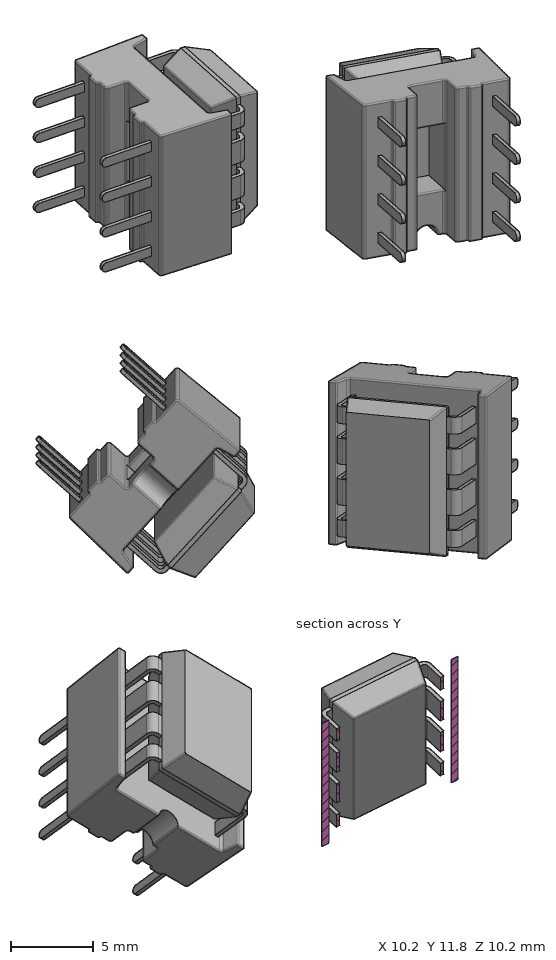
import cadquery as cq

LENGTH = 10.2
TOTAL_HEIGHT = 11.8
ROWS = 4
ROW_PITCH = 2.54

SOCKET_WIDTH = 10.2
WALL_LEAN = 0.041
WING_TOP = 5.0
WING_THICKNESS = 0.55
WING_ROOT_HALF_WIDTH = 4.26
DECK_HEIGHT = 3.84
CHANNEL_HALF_WIDTH = 1.25
CHANNEL_DEPTH = 1.51
FOOT_CENTRE = 2.5
FOOT_WIDTH = 0.91
FOOT_HEIGHT = 0.2
FOOT_RADIUS = FOOT_HEIGHT / 2
BODY_RADIUS = 0.2
RIM = 0.1

WING_HALF_WIDTH = SOCKET_WIDTH / 2 + RIM * WALL_LEAN
BASE_HALF_WIDTH = WING_HALF_WIDTH - WALL_LEAN * WING_TOP

WINDOW_WIDTH = 2.41
WINDOW_LENGTH = 4.32
NOTCH_RADIUS = 0.75

PIN_SPAN = 7.6
PIN_THICKNESS = 0.25
PIN_WIDTH = 0.66
PIN_LENGTH = 3.5
PIN_TIP_RADIUS = 0.32

CHIP_TOP = TOTAL_HEIGHT - PIN_LENGTH
CHIP_WIDTH = 6.37
CHIP_LENGTH = 9.32
CHIP_HEIGHT = 3.33
CHIP_INSET = 0.5
CHIP_EDGE_RADIUS = 0.1

LEAD_THICKNESS = 0.26
LEAD_BAND = 0.28
LEAD_OUTER_HALF_SPAN = 4.0
LEAD_BEND_RADIUS = 0.5
LEAD_WIDTH = 1.6
NARROW_LEAD_WIDTH = 0.5

CHIP_BOTTOM = CHIP_TOP - CHIP_HEIGHT
SLOPE_HEIGHT = (CHIP_HEIGHT - LEAD_BAND) / 2
WAIST_BOTTOM = CHIP_BOTTOM + SLOPE_HEIGHT
WAIST_TOP = WAIST_BOTTOM + LEAD_BAND
ROW_PLACES = [(row - (ROWS - 1) / 2) * ROW_PITCH for row in range(ROWS)]


def socket_half():
    """Right half of the socket profile, extruded along Z, with its lengthwise corners rounded."""
    r = FOOT_RADIUS
    foot_in = FOOT_CENTRE - FOOT_WIDTH / 2
    foot_out = FOOT_CENTRE + FOOT_WIDTH / 2
    wing_tip_in = WING_HALF_WIDTH - WING_THICKNESS
    half = (
        cq.Workplane("XY", origin=(0, 0, -LENGTH / 2))
        .moveTo(0, CHANNEL_DEPTH)
        .lineTo(CHANNEL_HALF_WIDTH, CHANNEL_DEPTH)
        .lineTo(CHANNEL_HALF_WIDTH, 0)
        .lineTo(foot_in - r, 0)
        .tangentArcPoint((r, -r))
        .tangentArcPoint((r, -r))
        .lineTo(foot_out - r, -FOOT_HEIGHT)
        .tangentArcPoint((r, r))
        .tangentArcPoint((r, r))
        .lineTo(BASE_HALF_WIDTH, 0)
        .lineTo(WING_HALF_WIDTH, WING_TOP)
        .lineTo(wing_tip_in, WING_TOP)
        .lineTo(WING_ROOT_HALF_WIDTH, DECK_HEIGHT)
        .lineTo(0, DECK_HEIGHT)
        .close()
        .extrude(LENGTH)
    )
    body_corners = [
        (CHANNEL_HALF_WIDTH, CHANNEL_DEPTH),
        (CHANNEL_HALF_WIDTH, 0),
        (BASE_HALF_WIDTH, 0),
        (WING_ROOT_HALF_WIDTH, DECK_HEIGHT),
    ]
    wing_tip_corners = [(WING_HALF_WIDTH, WING_TOP), (wing_tip_in, WING_TOP)]
    for corners, radius in ((body_corners, BODY_RADIUS), (wing_tip_corners, RIM)):
        for x, y in corners:
            half = half.edges(cq.NearestToPointSelector((x, y, 0))).fillet(radius)
    return half


def make_pin(x, z):
    """Flat pin with a rounded tip, hanging from the underside of the socket."""
    return (
        cq.Workplane("XY")
        .box(PIN_THICKNESS, PIN_LENGTH, PIN_WIDTH)
        .edges("|X and <Y")
        .fillet(PIN_TIP_RADIUS)
        .translate((x, -PIN_LENGTH / 2, z))
    )


def make_socket():
    """Socket body with its window, its end notch and both rows of pins."""
    half = socket_half()
    socket = half.union(half.mirror("YZ")).clean()

    notch = (
        cq.Workplane("XZ")
        .center(0, -LENGTH / 2)
        .circle(NOTCH_RADIUS)
        .extrude(-DECK_HEIGHT)
    )
    window = (
        cq.Workplane("XZ")
        .rect(WINDOW_WIDTH, WINDOW_LENGTH)
        .extrude(-DECK_HEIGHT)
    )
    socket = socket.cut(notch)
    notch_crown = (0, CHANNEL_DEPTH, NOTCH_RADIUS - LENGTH / 2)
    notch_mouth = socket.edges(cq.NearestToPointSelector(notch_crown))
    socket = socket.faces("<Z or >Z").edges().add(notch_mouth).fillet(RIM)

    socket = socket.cut(window)
    zone_length = WINDOW_LENGTH + RIM
    mouth_zone = cq.selectors.BoxSelector(
        (-CHANNEL_HALF_WIDTH, CHANNEL_DEPTH - BODY_RADIUS, -zone_length / 2),
        (CHANNEL_HALF_WIDTH, CHANNEL_DEPTH + RIM, zone_length / 2),
        boundingbox=True,
    )
    socket = socket.edges(mouth_zone).fillet(RIM)

    for side in (-1, 1):
        for z in ROW_PLACES:
            socket = socket.union(make_pin(side * PIN_SPAN / 2, z))
    return socket


def chip_case():
    """Chip case: two tapered blocks meeting at a straight waist, its corners and lower rim rounded."""
    def layer(bottom, bottom_inset, height, top_inset):
        return (
            cq.Workplane("XZ", origin=(0, bottom, 0))
            .rect(CHIP_WIDTH - 2 * bottom_inset, CHIP_LENGTH - 2 * bottom_inset)
            .workplane(offset=-height)
            .rect(CHIP_WIDTH - 2 * top_inset, CHIP_LENGTH - 2 * top_inset)
            .loft(ruled=True)
        )

    case = (
        layer(CHIP_BOTTOM, CHIP_INSET, SLOPE_HEIGHT, 0)
        .union(layer(WAIST_BOTTOM, 0, LEAD_BAND, 0))
        .union(layer(WAIST_TOP, 0, SLOPE_HEIGHT, CHIP_INSET))
    )
    corner_edges = case.edges("not(#Y)")
    return corner_edges.add(case.faces("<Y").edges()).fillet(CHIP_EDGE_RADIUS)


def make_lead(side, z_bottom, z_top):
    """Bent lead from the chip's waist down to the deck of the socket, on the +X or -X side."""
    outer = LEAD_OUTER_HALF_SPAN
    inner = outer - LEAD_THICKNESS
    inner_radius = LEAD_BEND_RADIUS - LEAD_THICKNESS
    root = CHIP_WIDTH / 2 - CHIP_INSET
    lead = (
        cq.Workplane("XY", origin=(0, 0, z_bottom))
        .moveTo(outer, DECK_HEIGHT)
        .lineTo(outer, WAIST_TOP - LEAD_BEND_RADIUS)
        .tangentArcPoint((outer - LEAD_BEND_RADIUS, WAIST_TOP), relative=False)
        .lineTo(root, WAIST_TOP)
        .lineTo(root, WAIST_BOTTOM)
        .lineTo(inner - inner_radius, WAIST_BOTTOM)
        .tangentArcPoint((inner, WAIST_BOTTOM - inner_radius), relative=False)
        .lineTo(inner, DECK_HEIGHT)
        .close()
        .extrude(z_top - z_bottom)
    )
    return lead if side > 0 else lead.mirror("YZ")


def make_chip():
    """Chip case with its leads; the end leads are cut back to the narrow width on their outer side."""
    chip = chip_case()
    for side in (-1, 1):
        for row, z in enumerate(ROW_PLACES):
            below = NARROW_LEAD_WIDTH / 2 if row == 0 else LEAD_WIDTH / 2
            above = NARROW_LEAD_WIDTH / 2 if row == ROWS - 1 else LEAD_WIDTH / 2
            chip = chip.union(make_lead(side, z - below, z + above))
    return chip


socket = make_socket()
chip = make_chip()
result = cq.Compound.makeCompound([socket.solids().val(), chip.solids().val()])